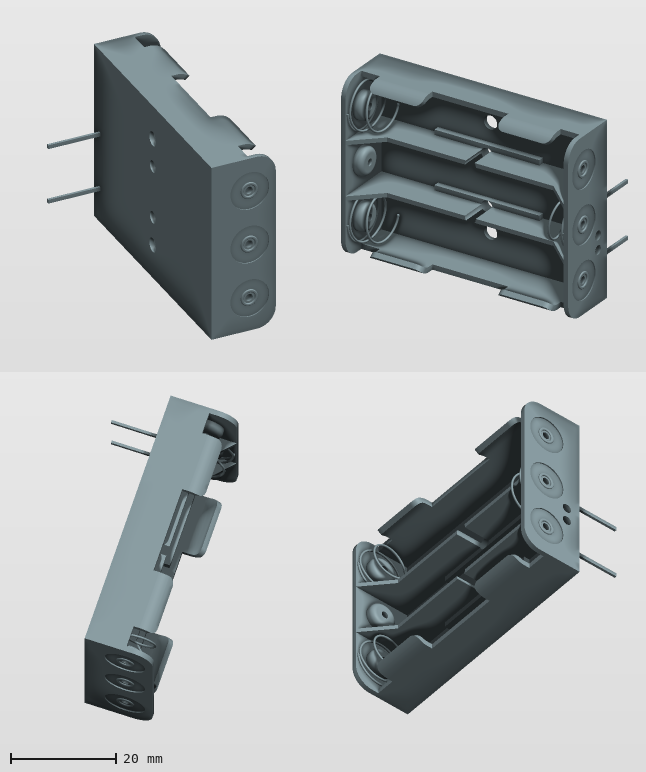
import cadquery as cq
import math


LENGTH = 51.5
WIDTH = 38.0
DEPTH = 13.6
END_WALL = 1.05
SIDE_WALL = 1.15
FLOOR = 1.0
END_CORNER_RADIUS = 3.95

CELL_PITCH = 11.85
CELL_AXIS_Y = 8.1
CELL_ROWS = (-1, 0, 1)
ENDS = (-1, 1)
INNER_END_X = LENGTH / 2 - END_WALL

DIVIDER = 0.95
DIVIDER_FOOT_LENGTH = 23.8
DIVIDER_FOOT_WIDTH = 3.2
DIVIDER_FOOT_HEIGHT = 2.25
DIVIDER_Z = CELL_PITCH / 2
GUSSET_RUN = 5.85

TAB_LENGTH = 11.9
TAB_END_OFFSET = 5.25
TAB_BEND_Y = 9.2
TAB_TIP_Y = 12.4
TAB_RADIUS = 3.95
TAB_CORNER_RADIUS = 1.55

LARGE_HOLE_DIAMETER = 3.0
LARGE_HOLE_Z = 11.75
SMALL_HOLE_DIAMETER = 2.45
SMALL_HOLE_Z = 5.6
WIRE_HOLE_DIAMETER = 2.0
WIRE_HOLE_Y = 3.15
WIRE_HOLE_SPACING = 3.15

RECESS_RADIUS = 4.05
RECESS_DEPTH = 0.25
BORE_RADIUS = 0.75
SHANK_RADIUS = 1.55
RIM_BORE_RADIUS = 1.2
RIM_RADIUS = 1.8
RIM_ROUND = 0.2
CAP_RADIUS = 3.05
CAP_LENGTH = 1.95
CAP_ROUND = 1.1

PIN_LENGTH = 11.0
PIN_THICKNESS = 0.5
PIN_WIDTH = 0.8
PIN_X = -23.1
PIN_TOP_Y = CELL_AXIS_Y - 1.3
PIN_OFFSETS = {0: 0.5, -1: 0.3}

WIRE_DIAMETER = 0.45
SPRING_BASE_RADIUS = 5.05
SPRING_TIP_RADIUS = 4.0
CLOSED_TURNS = 1
CLOSED_PITCH = 0.475
OPEN_TURNS = 1.5
OPEN_PITCH = 3.4


def box(x_range, y_range, z_range):
    """Box between the given limits."""
    lower, upper = zip(x_range, y_range, z_range)
    size = [high - low for low, high in zip(lower, upper)]
    return cq.Workplane("XY").box(*size, centered=False).translate(lower)


def x_cylinder(radius, x_range, y, z):
    """Cylinder along X."""
    start, end = x_range
    return cq.Workplane("YZ", origin=(start, y, z)).circle(radius).extrude(end - start)


def make_shell():
    """Floor, two low side walls and two tall end walls with rounded corners."""
    half_width = WIDTH / 2
    shell = box((-LENGTH / 2, LENGTH / 2), (0, CELL_AXIS_Y), (-half_width, half_width))
    inner_half_width = half_width - SIDE_WALL
    shell = shell.cut(
        box((-INNER_END_X, INNER_END_X), (FLOOR, DEPTH), (-inner_half_width, inner_half_width))
    )
    for end in ENDS:
        wall_range = sorted((end * INNER_END_X, end * LENGTH / 2))
        wall = box(wall_range, (0, DEPTH), (-half_width, half_width))
        shell = shell.union(wall.edges("|X and >Y").fillet(END_CORNER_RADIUS))
    return shell


def make_divider(z):
    """Wall between two cells: sloping gussets at the ends and a wide low foot."""
    outline = [
        (-INNER_END_X, 0),
        (INNER_END_X, 0),
        (INNER_END_X, DEPTH),
        (INNER_END_X - GUSSET_RUN, CELL_AXIS_Y),
        (-INNER_END_X + GUSSET_RUN, CELL_AXIS_Y),
        (-INNER_END_X, DEPTH),
    ]
    wall = cq.Workplane("XY").polyline(outline).close().extrude(DIVIDER / 2, both=True)
    foot = box(
        (-DIVIDER_FOOT_LENGTH / 2, DIVIDER_FOOT_LENGTH / 2),
        (0, DIVIDER_FOOT_HEIGHT),
        (-DIVIDER_FOOT_WIDTH / 2, DIVIDER_FOOT_WIDTH / 2),
    )
    return wall.union(foot).translate((0, 0, z))


def make_tab():
    """Tab on the +Z side wall, centred on X, curling inwards over the outer cell."""
    outer_z = WIDTH / 2
    centre_z = outer_z - TAB_RADIUS
    inner_radius = TAB_RADIUS - SIDE_WALL
    tip_angle = math.asin((TAB_TIP_Y - TAB_BEND_Y) / TAB_RADIUS)

    def bend_point(radius, angle):
        return (TAB_BEND_Y + radius * math.sin(angle), centre_z + radius * math.cos(angle))

    curl = (
        cq.Workplane("YZ")
        .moveTo(CELL_AXIS_Y, outer_z)
        .lineTo(TAB_BEND_Y, outer_z)
        .threePointArc(bend_point(TAB_RADIUS, tip_angle / 2), bend_point(TAB_RADIUS, tip_angle))
        .lineTo(*bend_point(inner_radius, tip_angle))
        .threePointArc(bend_point(inner_radius, tip_angle / 2), bend_point(inner_radius, 0))
        .lineTo(CELL_AXIS_Y, outer_z - SIDE_WALL)
        .close()
        .extrude(TAB_LENGTH / 2, both=True)
    )
    tip_edge_direction = cq.Vector(0, math.sin(tip_angle), math.cos(tip_angle))
    tip_edges = cq.selectors.ParallelDirSelector(tip_edge_direction)
    return curl.edges(tip_edges).fillet(TAB_CORNER_RADIUS)


def make_tabs():
    """Two tabs on each side wall."""
    tab = make_tab()
    tab_x = LENGTH / 2 - TAB_END_OFFSET - TAB_LENGTH / 2
    tabs = cq.Workplane("XY")
    for end in ENDS:
        upper_tab = tab.translate((end * tab_x, 0, 0))
        tabs = tabs.add(upper_tab).add(upper_tab.mirror("XY"))
    return tabs.vals()


def make_floor_holes():
    """Two large holes under the outer cells and two small ones through the dividers."""
    holes = []
    for diameter, hole_z in ((LARGE_HOLE_DIAMETER, LARGE_HOLE_Z), (SMALL_HOLE_DIAMETER, SMALL_HOLE_Z)):
        for side in (-1, 1):
            start = cq.Vector(0, 0, side * hole_z)
            holes.append(cq.Solid.makeCylinder(diameter / 2, DEPTH, start, cq.Vector(0, 1, 0)))
    return holes


def make_wire_holes():
    """Two holes through the -X end wall, one on each side of the lower divider."""
    wall_range = (-LENGTH / 2, -INNER_END_X)
    holes = []
    for side in (-1, 1):
        hole_z = -DIVIDER_Z + side * WIRE_HOLE_SPACING / 2
        holes.append(x_cylinder(WIRE_HOLE_DIAMETER / 2, wall_range, WIRE_HOLE_Y, hole_z).val())
    return holes


def make_contact_seats():
    """Recess and shank hole in the end walls for every contact."""
    seats = []
    for end in ENDS:
        outer_x = end * LENGTH / 2
        recess_range = (outer_x, outer_x - end * RECESS_DEPTH)
        shank_range = (outer_x, end * INNER_END_X)
        for row in CELL_ROWS:
            cell_z = row * CELL_PITCH
            seats.append(x_cylinder(RECESS_RADIUS, recess_range, CELL_AXIS_Y, cell_z).val())
            seats.append(x_cylinder(SHANK_RADIUS, shank_range, CELL_AXIS_Y, cell_z).val())
    return seats


def make_pin(row):
    """Flat pin that runs along Y from the cap of a -X contact out through the floor."""
    pin_z = row * CELL_PITCH + PIN_OFFSETS[row]
    return box(
        (PIN_X - PIN_THICKNESS / 2, PIN_X + PIN_THICKNESS / 2),
        (-PIN_LENGTH, PIN_TOP_Y),
        (pin_z - PIN_WIDTH / 2, pin_z + PIN_WIDTH / 2),
    )


def make_housing():
    housing = make_shell()
    for side in (-1, 1):
        housing = housing.union(make_divider(side * DIVIDER_Z))
    for tab in make_tabs():
        housing = housing.union(tab)
    for opening in make_floor_holes() + make_wire_holes() + make_contact_seats():
        housing = housing.cut(opening)
    for row in PIN_OFFSETS:
        housing = housing.cut(make_pin(row))
    return housing


def make_contact():
    """Hollow rivet at the -X end of the cell on Z = 0: rim, shank and rounded cap."""
    rim_x = -LENGTH / 2
    seat_x = rim_x + RECESS_DEPTH
    cap_x = -INNER_END_X
    tip_x = cap_x + CAP_LENGTH
    section = (
        cq.Workplane("XY")
        .moveTo(seat_x, BORE_RADIUS)
        .lineTo(seat_x, RIM_BORE_RADIUS)
        .lineTo(rim_x + RIM_ROUND, RIM_BORE_RADIUS)
        .radiusArc((rim_x, RIM_BORE_RADIUS + RIM_ROUND), RIM_ROUND)
        .lineTo(rim_x, RIM_RADIUS - RIM_ROUND)
        .radiusArc((rim_x + RIM_ROUND, RIM_RADIUS), RIM_ROUND)
        .lineTo(seat_x, RIM_RADIUS)
        .lineTo(seat_x, SHANK_RADIUS)
        .lineTo(cap_x, SHANK_RADIUS)
        .lineTo(cap_x, CAP_RADIUS)
        .lineTo(tip_x - CAP_ROUND, CAP_RADIUS)
        .radiusArc((tip_x, CAP_RADIUS - CAP_ROUND), CAP_ROUND)
        .lineTo(tip_x, BORE_RADIUS)
        .close()
    )
    return section.revolve(360, (0, 0, 0), (1, 0, 0)).translate((0, CELL_AXIS_Y, 0))


def make_contacts():
    """One contact at each end of each cell; two of the -X contacts carry a solder pin."""
    contact = make_contact()
    contacts = []
    for row in CELL_ROWS:
        left_contact = contact.translate((0, 0, row * CELL_PITCH))
        right_contact = left_contact.mirror("YZ")
        if row in PIN_OFFSETS:
            left_contact = left_contact.union(make_pin(row))
        contacts += [left_contact.val(), right_contact.val()]
    return contacts


def spring_point(turn):
    """Point on the wire axis: a closed base turn followed by open turns that narrow to the tip."""
    closed_turns = min(turn, CLOSED_TURNS)
    open_turns = turn - closed_turns
    height = WIRE_DIAMETER / 2 + CLOSED_PITCH * closed_turns + OPEN_PITCH * open_turns
    radius = SPRING_BASE_RADIUS + (SPRING_TIP_RADIUS - SPRING_BASE_RADIUS) * open_turns / OPEN_TURNS
    angle = 2 * math.pi * turn
    return (INNER_END_X - height, radius * math.cos(angle), -radius * math.sin(angle))


def make_spring():
    """Coil spring standing on the +X end wall around the cell axis on Z = 0."""
    points_per_turn = 12
    point_count = round((CLOSED_TURNS + OPEN_TURNS) * points_per_turn) + 1
    points = [cq.Vector(*spring_point(i / points_per_turn)) for i in range(point_count)]
    path = cq.Workplane("XY").add(cq.Edge.makeSpline(points)).toPending()
    profile = cq.Workplane("XY", origin=points[0].toTuple()).circle(WIRE_DIAMETER / 2)
    return profile.sweep(path, isFrenet=True).translate((0, CELL_AXIS_Y, 0))


def make_springs():
    """One spring per cell, at +X for the outer cells and at -X for the reversed middle cell."""
    spring = make_spring()
    springs = []
    for row in CELL_ROWS:
        cell_spring = spring.mirror("YZ") if row == 0 else spring
        springs.append(cell_spring.translate((0, 0, row * CELL_PITCH)).val())
    return springs


housing = make_housing()
contacts = make_contacts()
springs = make_springs()

result = cq.Compound.makeCompound([housing.val(), *contacts, *springs])